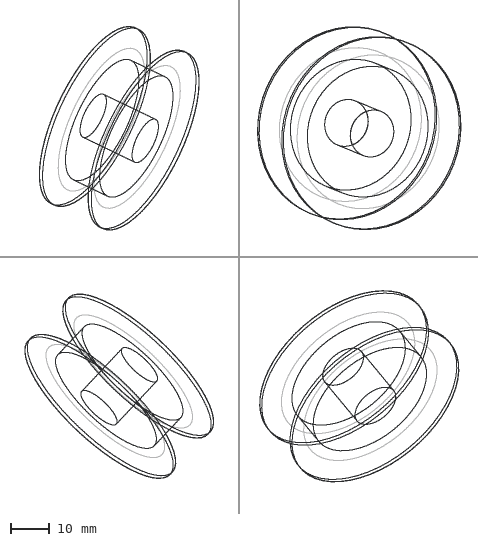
import cadquery as cq

width = 16.0
rim_diameter = 50.0
drum_diameter = 34.0
bore_diameter = 12.2
rim_thickness = 1.0
flange_knee_diameter = 40.0
flange_knee_thickness = 2.5
flange_root_thickness = 2.75

half_width = width / 2
rim_radius = rim_diameter / 2
knee_radius = flange_knee_diameter / 2
drum_radius = drum_diameter / 2
bore_radius = bore_diameter / 2


def flange_profile(side):
    """Points (x, radius) of one flange from its outer face to its root; side is -1 or +1."""
    return [
        (side * half_width, bore_radius),
        (side * half_width, rim_radius),
        (side * (half_width - rim_thickness), rim_radius),
        (side * (half_width - flange_knee_thickness), knee_radius),
        (side * (half_width - flange_root_thickness), drum_radius),
    ]


section = flange_profile(-1) + flange_profile(1)[::-1]
result = cq.Workplane("XZ").polyline(section).close().revolve(360, (0, 0, 0), (1, 0, 0))